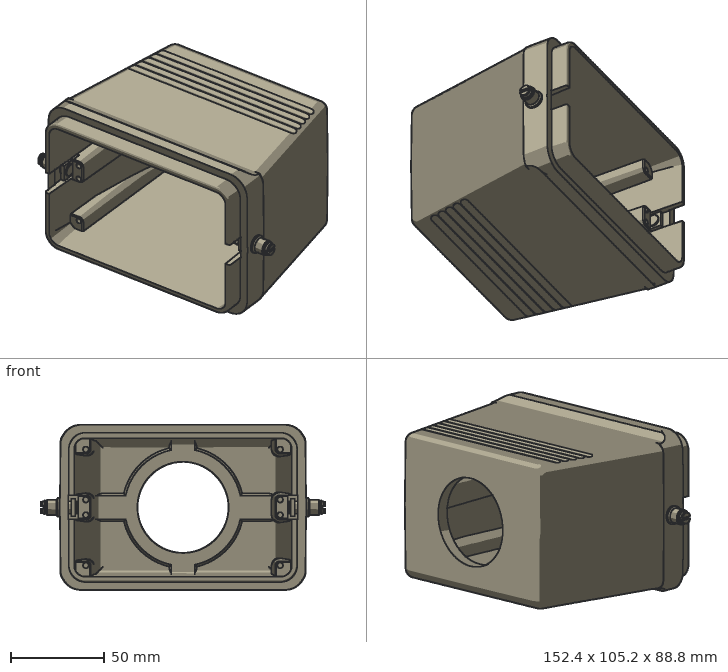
import cadquery as cq
import math

total_depth = 105.2
back_y = total_depth / 2
mouth_y = -total_depth / 2
flange_front_y = -43.0
flange_back_y = -28.0
flange_overlap = 0.2

body_half_height = 40.3
back_half_width = 51.8
side_angle = 10.0
mould_draft = 0.5
body_edge_radius = 5.3

flange_half_height = 44.4
flange_corner_radius = 11.1
flare_radius = 9.5
flare_rise = 3.7
flange_rim_y = -37.0

skirt_half_width = 61.3
skirt_half_height = 40.1
skirt_corner_radius = 9.1
skirt_lip_radius = 1.0
wall_thickness = 2.9
notch_half_height = 6.4
notch_inner_x = 56.1
notch_outer_x = 61.6
notch_back_y = -28.2

mouth_half_width = skirt_half_width - wall_thickness
mouth_half_height = skirt_half_height - wall_thickness
floor_half_height = 35.7
left_bend = (-56.7, -12.2)
right_bend = (57.0, 0.0)
floor_left_x = -46.0
floor_right_x = 49.1
floor_y = 47.9
cavity_corner_radius = 6.1
floor_radius = 4.5

pad_height = 2.1
pad_radius = 31.4
pad_arm_width = 12.7
pad_draft = 30.0
pad_floor_radius = 2.6
cable_hole_radius = 24.4

post_tip_y = -34.2
post_inner_x = 49.4
post_draft = 1.4
post_corner_radius = 2.7
post_tip_chamfer = 0.6
corner_post_z = 28.8
middle_post_half_height = 6.5
screw_hole_x = 52.1
corner_screw_z = 31.1
middle_screw_z = 4.1
screw_hole_radius = 1.5
screw_hole_depth = 12.2

pin_y = -35.0
pin_tip_x = 76.2
pin_inner_x = 57.0
pin_wall_x = 64.0
pin_collar_end_x = 67.1
pin_shaft_start_x = 68.0
pin_shaft_end_x = 72.9
pin_neck_start_x = 73.3
pin_neck_end_x = 74.0
pin_ring_x = 74.1
pin_head_x = 75.3
pin_collar_radius = 5.0
pin_shaft_radius = 4.1
pin_ring_radius = 3.8
pin_neck_radius = 3.4
pin_tip_radius = 3.0
pin_slot_width = 1.4
pin_slot_depth = 1.4
seat_plate_front_y = -39.6
seat_plate_inner_x = 57.8
seat_plate_outer_x = 59.9
seat_plate_half_height = 4.7

groove_count = 5
groove_pitch = 5.2
first_groove_y = 37.2
groove_width = 4.9
groove_sink = 0.84
groove_end_inset = 4.5

beyond = 91.5

side_slope = math.tan(math.radians(side_angle))


def half_width_at(y):
    """Half width of the outer body in the middle plane Z = 0."""
    return back_half_width + side_slope * (back_y - y)


def box(x_range, y_range, z_range):
    """Axis-aligned block from its limits along each axis."""
    (x0, x1), (y0, y1), (z0, z1) = x_range, y_range, z_range
    return cq.Workplane("XY").box(x1 - x0, y1 - y0, z1 - z0, centered=False).translate((x0, y0, z0))


def along_y(start_y):
    """Workplane in X and Z whose extrusions grow toward +Y."""
    plane = cq.Plane(origin=(0, start_y, 0), xDir=(-1, 0, 0), normal=(0, 1, 0))
    return cq.Workplane(plane)


def both_sides(solid):
    """A solid on the +X side together with its mirror image."""
    return solid.union(solid.mirror("YZ"))


def four_corners(solid):
    """A solid in the +X, +Z quarter together with its three mirror images."""
    pair = both_sides(solid)
    return pair.union(pair.mirror("XY"))


def make_body():
    """Tapered hood with rounded edges, drafted away from the middle plane Z = 0."""
    front_half = half_width_at(flange_front_y)
    outline = cq.Workplane("XY").polyline([
        (-back_half_width, back_y),
        (back_half_width, back_y),
        (front_half, flange_front_y),
        (-front_half, flange_front_y),
    ]).close()
    half = outline.extrude(body_half_height, taper=mould_draft)
    half = half.cut(box((-beyond, beyond), (-beyond, flange_back_y - flange_overlap), (-1.5, beyond)))
    half = half.edges("not (<Y or <Z)").fillet(body_edge_radius)
    return half.union(half.mirror("XY"))


def make_flange():
    """Flange with rounded corners that flares out of the body toward +Z and -Z."""
    half_width = half_width_at(flange_back_y)
    outline = cq.Workplane("XY").center(0, flange_front_y).rect(2 * half_width, beyond)
    upper = outline.extrude(flange_half_height, taper=mould_draft)
    blank = upper.union(upper.mirror("XY"))
    blank = blank.faces(">Z or <Z").edges("|Y").fillet(flange_corner_radius)
    flare_run = math.sqrt(2 * flare_radius * flare_rise - flare_rise ** 2)
    half_angle = math.acos(1 - flare_rise / flare_radius) / 2
    flare_mid = (
        flange_back_y - flare_radius * math.sin(half_angle),
        body_half_height + flare_radius * (1 - math.cos(half_angle)),
    )
    flare_end = (flange_back_y - flare_run, body_half_height + flare_rise)
    profile = (
        cq.Workplane("YZ")
        .moveTo(flange_front_y, 0)
        .lineTo(flange_back_y, 0)
        .lineTo(flange_back_y, body_half_height)
        .threePointArc(flare_mid, flare_end)
        .lineTo(flange_rim_y, flange_half_height)
        .lineTo(flange_front_y, flange_half_height)
        .close()
        .extrude(beyond, both=True)
    )
    return blank.intersect(profile.union(profile.mirror("XY")))


def make_skirt():
    """Rounded rectangular skirt with a rounded outer lip."""
    skirt = (
        along_y(mouth_y)
        .rect(2 * skirt_half_width, 2 * skirt_half_height)
        .extrude(flange_back_y - mouth_y)
        .edges("|Y")
        .fillet(skirt_corner_radius)
    )
    return skirt.faces("<Y").edges().fillet(skirt_lip_radius)


def make_cavity(end_y, end_radius):
    """Tapered inner space that ends in a flat floor at end_y with a rounded rim."""
    plan = cq.Workplane("XY").polyline([
        (-mouth_half_width, mouth_y),
        left_bend,
        (floor_left_x, floor_y),
        (floor_right_x, floor_y),
        right_bend,
        (mouth_half_width, mouth_y),
    ]).close().extrude(beyond, both=True)
    narrowing = (mouth_half_height - floor_half_height) / (floor_y - mouth_y)
    end_half_height = floor_half_height + narrowing * (floor_y - end_y)
    side = cq.Workplane("YZ").polyline([
        (mouth_y, -mouth_half_height),
        (mouth_y, mouth_half_height),
        (end_y, end_half_height),
        (end_y, -end_half_height),
    ]).close().extrude(beyond, both=True)
    mouth = (
        along_y(mouth_y)
        .rect(2 * mouth_half_width, 2 * mouth_half_height)
        .extrude(total_depth)
        .edges("|Y")
        .fillet(cavity_corner_radius)
    )
    cavity = plan.intersect(side).intersect(mouth)
    return cavity.faces(">Y").edges().fillet(end_radius)


def make_pad():
    """Raised ring around the cable hole with four arms reaching the walls."""
    def stretch(outline):
        straight = outline(floor_y - pad_height - pad_floor_radius).extrude(pad_floor_radius)
        flared = outline(floor_y - pad_height).extrude(2 * pad_height, taper=-pad_draft)
        return straight.union(flared)

    ring = stretch(lambda y: along_y(y).circle(pad_radius))
    wide_arms = stretch(lambda y: along_y(y).rect(2 * skirt_half_width, pad_arm_width))
    tall_arms = stretch(lambda y: along_y(y).rect(pad_arm_width, 2 * skirt_half_height))
    return ring.union(wide_arms).union(tall_arms)


def make_post(z_low, z_high):
    """Rounded screw post on the +X side, growing with draft from its tip into the floor."""
    width = skirt_half_width - post_inner_x
    centre = -(skirt_half_width + post_inner_x) / 2, (z_low + z_high) / 2
    section = cq.Sketch().rect(width, z_high - z_low).vertices().fillet(post_corner_radius)
    post = along_y(post_tip_y).center(*centre).placeSketch(section).extrude(back_y - post_tip_y, taper=-post_draft)
    return post.faces("<Y").edges().chamfer(post_tip_chamfer)


def make_screw_holes():
    """Blind screw holes in the tips of all posts."""
    def hole(z):
        centre = along_y(post_tip_y).center(-screw_hole_x, z)
        return centre.circle(screw_hole_radius).extrude(screw_hole_depth)

    return four_corners(hole(corner_screw_z).union(hole(middle_screw_z)))


def make_notch():
    """Gap through the skirt on the +X side, running on behind it as a seat for the pin."""
    notch_z = -notch_half_height, notch_half_height
    return box((notch_inner_x, notch_outer_x), (mouth_y, notch_back_y), notch_z)


def make_seat_plate():
    """Plate behind the +X notch through which the locking pin passes."""
    return box(
        (seat_plate_inner_x, seat_plate_outer_x),
        (seat_plate_front_y, notch_back_y),
        (-seat_plate_half_height, seat_plate_half_height),
    )


def make_pin():
    """Turned locking pin along +X with a screwdriver slot in its tip."""
    profile = [
        (pin_inner_x, 0),
        (pin_inner_x, pin_neck_radius),
        (pin_wall_x, pin_neck_radius),
        (pin_wall_x, pin_collar_radius),
        (pin_collar_end_x, pin_collar_radius),
        (pin_shaft_start_x, pin_shaft_radius),
        (pin_shaft_end_x, pin_shaft_radius),
        (pin_neck_start_x, pin_neck_radius),
        (pin_neck_end_x, pin_neck_radius),
        (pin_ring_x, pin_ring_radius),
        (pin_head_x, pin_tip_radius),
        (pin_tip_x, pin_tip_radius),
        (pin_tip_x, 0),
    ]
    pin = cq.Workplane("XY").polyline(profile).close().revolve(360, (0, 0, 0), (1, 0, 0))
    slot_length = 2 * pin_collar_radius
    slot = cq.Workplane("XY").box(2 * pin_slot_depth, slot_length, pin_slot_width).translate((pin_tip_x, 0, 0))
    return pin.cut(slot).translate((0, pin_y, 0))


def make_groove(y):
    """Shallow finger groove with rounded ends across the +Z face."""
    radius = (groove_width ** 2 / 4 + groove_sink ** 2) / (2 * groove_sink)
    axis_z = body_half_height + radius - groove_sink
    reach = half_width_at(y) - groove_end_inset
    groove = cq.Workplane("YZ").circle(radius).extrude(reach, both=True)
    for end_x in (-reach, reach):
        groove = groove.union(cq.Workplane("XY").sphere(radius).translate((end_x, 0, 0)))
    return groove.translate((0, y, axis_z))


cavity = make_cavity(floor_y, floor_radius)
pad_cavity = make_cavity(floor_y - pad_height, pad_floor_radius)

shell = make_body().union(make_flange()).union(make_skirt()).cut(cavity)
for index in range(groove_count):
    groove = make_groove(first_groove_y - index * groove_pitch)
    shell = shell.cut(groove).cut(groove.mirror("XY"))

pad = make_pad().intersect(cavity).cut(pad_cavity)
posts = four_corners(make_post(corner_post_z, skirt_half_height))
posts = posts.union(both_sides(make_post(-middle_post_half_height, middle_post_half_height)))
shell = shell.union(pad).union(posts.intersect(cavity))

cable_hole = along_y(0).circle(cable_hole_radius).extrude(total_depth)
shell = shell.cut(cable_hole).cut(make_screw_holes()).cut(both_sides(make_notch()))
result = shell.union(both_sides(make_seat_plate())).union(both_sides(make_pin()))